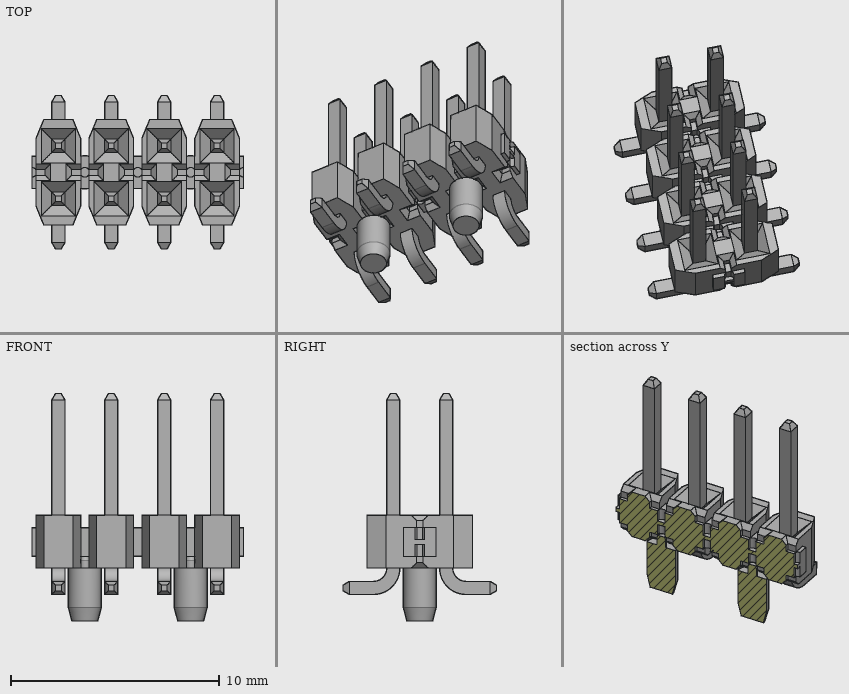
import cadquery as cq

PITCH = 2.54
COLUMNS = 4
column_xs = [(i - (COLUMNS - 1) / 2) * PITCH for i in range(COLUMNS)]
gap_xs = [(i - COLUMNS / 2) * PITCH for i in range(COLUMNS + 1)]
LENGTH = COLUMNS * PITCH
ROW_Y = PITCH / 2

BLOCK_WIDTH = 2.15
BLOCK_DEPTH = 2 * PITCH
BLOCK_HEIGHT = 2.54
BLOCK_END_WIDTH = 1.40
BLOCK_CORNER_LENGTH = 0.91

PIN_SIZE = 0.64
PIN_EXPOSED_HEIGHT = 5.84
PIN_TOP = BLOCK_HEIGHT + PIN_EXPOSED_HEIGHT
TIP_SIZE = 0.28
TIP_LENGTH = 0.31
BEND_INNER_RADIUS = 0.63
BEND_OUTER_RADIUS = BEND_INNER_RADIUS + PIN_SIZE
LEAD_SPAN = 7.37

FUNNEL_SIZE = 1.64
FUNNEL_DEPTH = (FUNNEL_SIZE - PIN_SIZE) / 2

BRIDGE_DEPTH = 1.56
BRIDGE_HEIGHT = 1.38
BRIDGE_BOTTOM = 0.56
BRIDGE_TOP = BRIDGE_BOTTOM + BRIDGE_HEIGHT
WEB_THICKNESS = 0.23
WEB_BOTTOM = BRIDGE_BOTTOM + (BRIDGE_HEIGHT - WEB_THICKNESS) / 2
WEB_TOP = WEB_BOTTOM + WEB_THICKNESS
BRIDGE_HOLE_DIAMETER = 0.46

SLOT_WIDTH = 0.29
SLOT_REACH = 0.44
SLOT_LENGTH = PITCH - BLOCK_WIDTH + 2 * SLOT_REACH
FLARE = 0.26

PEG_DIAMETER = 1.60
PEG_TIP_DIAMETER = 1.25
PEG_LENGTH = 2.54
PEG_TIP_LENGTH = 0.66
STEM_DIAMETER = 0.52
STEM_TIP_DIAMETER = 0.42
STEM_SHOULDER = 0.36
peg_xs = [gap_xs[1], gap_xs[-2]]


def box(x_size, y_size, z_min, z_max, x=0, y=0):
    """Upright block centred on (x, y)."""
    return (
        cq.Workplane("XY", origin=(x, y, z_min))
        .rect(x_size, y_size)
        .extrude(z_max - z_min)
    )


def frustum(plane, start_size, end_size, height):
    """Rectangular frustum that grows along the normal of the plane."""
    return (
        cq.Workplane(plane)
        .rect(*start_size)
        .workplane(offset=height)
        .rect(*end_size)
        .loft(ruled=True)
    )


def horizontal_plane(x, y, z, up=True):
    """Plane through (x, y, z) that faces up or down."""
    return cq.Plane(origin=(x, y, z), xDir=(1, 0, 0), normal=(0, 0, 1 if up else -1))


def block(x):
    """Octagonal insulator block with its four upright corners cut."""
    half_width = BLOCK_WIDTH / 2
    half_end = BLOCK_END_WIDTH / 2
    half_depth = BLOCK_DEPTH / 2
    corner_y = half_depth - BLOCK_CORNER_LENGTH
    outline = [
        (half_end, half_depth),
        (half_width, corner_y),
        (half_width, -corner_y),
        (half_end, -half_depth),
        (-half_end, -half_depth),
        (-half_width, -corner_y),
        (-half_width, corner_y),
        (-half_end, half_depth),
    ]
    return cq.Workplane("XY", origin=(x, 0, 0)).polyline(outline).close().extrude(BLOCK_HEIGHT)


def bridge(x):
    """H-shaped bridge: a block with round holes from above and below that leave a web."""
    body = box(PITCH - BLOCK_WIDTH, BRIDGE_DEPTH, BRIDGE_BOTTOM, BRIDGE_TOP, x)
    for z_min, z_max in ((BRIDGE_BOTTOM, WEB_BOTTOM), (WEB_TOP, BRIDGE_TOP)):
        hole = cq.Workplane("XY", origin=(x, 0, z_min)).circle(BRIDGE_HOLE_DIAMETER / 2)
        body = body.cut(hole.extrude(z_max - z_min))
    return body


def slot_cut(x):
    """Slots with flared mouths that run above and below one bridge, into both blocks."""
    floor = (SLOT_LENGTH, SLOT_WIDTH)
    mouth = (SLOT_LENGTH + 2 * FLARE, SLOT_WIDTH + 2 * FLARE)
    lower_slot = box(*floor, 0, BRIDGE_BOTTOM, x)
    lower_mouth = frustum(horizontal_plane(x, 0, 0), mouth, floor, FLARE)
    upper_slot = box(*floor, BRIDGE_TOP, BLOCK_HEIGHT, x)
    upper_mouth = frustum(horizontal_plane(x, 0, BLOCK_HEIGHT, up=False), mouth, floor, FLARE)
    return lower_slot.union(lower_mouth).union(upper_slot).union(upper_mouth)


def funnel_cut(x, y):
    """Square funnel that narrows at 45 degrees down to the pin."""
    return frustum(
        horizontal_plane(x, y, BLOCK_HEIGHT, up=False),
        (FUNNEL_SIZE, FUNNEL_SIZE),
        (PIN_SIZE, PIN_SIZE),
        FUNNEL_DEPTH,
    )


def peg(x):
    """Round peg with a tapered tip and a thin tapered stem up to the underside of its bridge."""
    radius = PEG_DIAMETER / 2
    stem_radius = STEM_DIAMETER / 2
    profile = [
        (0, BRIDGE_BOTTOM),
        (STEM_TIP_DIAMETER / 2, BRIDGE_BOTTOM),
        (stem_radius, STEM_SHOULDER),
        (stem_radius, 0),
        (radius, 0),
        (radius, PEG_TIP_LENGTH - PEG_LENGTH),
        (PEG_TIP_DIAMETER / 2, -PEG_LENGTH),
        (0, -PEG_LENGTH),
    ]
    return (
        cq.Workplane("XZ", origin=(x, 0, 0))
        .polyline(profile)
        .close()
        .revolve(360, (0, 0, 0), (0, 1, 0))
    )


def pin(x, side):
    """Square pin bent outward under the block; side is +1 or -1 along Y."""
    y = side * ROW_Y
    bend_y = ROW_Y + PIN_SIZE / 2 + BEND_INNER_RADIUS
    lead_z = PIN_SIZE / 2 - BEND_OUTER_RADIUS
    lead_end = LEAD_SPAN / 2 - TIP_LENGTH
    body = (PIN_SIZE, PIN_SIZE)
    tip = (TIP_SIZE, TIP_SIZE)

    post = box(PIN_SIZE, PIN_SIZE, 0, PIN_TOP - TIP_LENGTH, x, y)
    post_tip = frustum(horizontal_plane(x, y, PIN_TOP - TIP_LENGTH), body, tip, TIP_LENGTH)
    bend_radius = side * (bend_y - ROW_Y)
    bend = (
        cq.Workplane("XY", origin=(x, y, 0))
        .rect(*body)
        .revolve(90, (0, bend_radius, 0), (side, bend_radius, 0))
    )
    lead = box(
        PIN_SIZE,
        lead_end - bend_y,
        -BEND_OUTER_RADIUS,
        -BEND_INNER_RADIUS,
        x,
        side * (bend_y + lead_end) / 2,
    )
    tip_plane = cq.Plane(origin=(x, side * lead_end, lead_z), xDir=(1, 0, 0), normal=(0, side, 0))
    lead_tip = frustum(tip_plane, body, tip, TIP_LENGTH)
    return post.union(post_tip).union(bend).union(lead).union(lead_tip)


def insulator():
    """Row of blocks with bridges, slots, funnels and pegs."""
    body = block(column_xs[0])
    for x in column_xs[1:]:
        body = body.union(block(x))
    for x in gap_xs:
        body = body.union(bridge(x)).cut(slot_cut(x))
    for x in column_xs:
        for side in (-1, 1):
            body = body.cut(funnel_cut(x, side * ROW_Y))
    for x in peg_xs:
        body = body.union(peg(x))
    return body.intersect(box(LENGTH, BLOCK_DEPTH, -PEG_LENGTH, BLOCK_HEIGHT))


result = insulator()
for column_x in column_xs:
    for row_side in (-1, 1):
        result = result.union(pin(column_x, row_side))